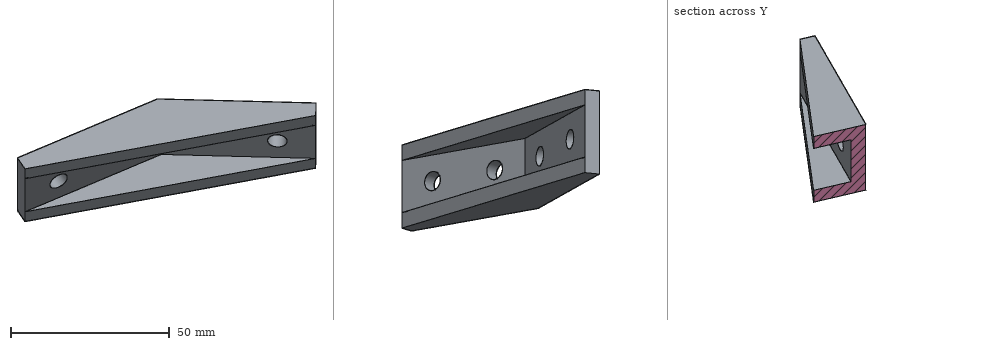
import cadquery as cq
import math

total_length = 93.3
height = 27.0
wall = 5.0
bend_angle = math.radians(30)
hole_diameter = 6.2
hole_margin = 12.0

leg_length = total_length / (1 + math.cos(bend_angle))

straight_end = (0, -leg_length)
straight_end_inner = (wall, -leg_length)
along = (math.sin(bend_angle), math.cos(bend_angle))
inward = (math.cos(bend_angle), -math.sin(bend_angle))
angled_end = (leg_length * along[0], leg_length * along[1])
angled_end_inner = (angled_end[0] + wall * inward[0], angled_end[1] + wall * inward[1])
bend_setback = wall * math.tan(bend_angle / 2)
bend_inner = (wall, -bend_setback)

hole_offsets = (bend_setback + hole_margin, leg_length - hole_margin)


def gusseted_body():
    """Bent plate whose legs are joined by a web along the top and the bottom."""
    body = (
        cq.Workplane("XY")
        .polyline([(0, 0), straight_end, straight_end_inner, angled_end_inner, angled_end])
        .close()
        .extrude(height)
    )
    cavity = (
        cq.Workplane("XY", origin=(0, 0, wall))
        .polyline([bend_inner, straight_end_inner, angled_end_inner])
        .close()
        .extrude(height - 2 * wall)
    )
    return body.cut(cavity)


def leg_hole(start, normal):
    """Through-hole cutter entering a leg at its outer face."""
    centre = cq.Vector(start[0], start[1], height / 2)
    direction = cq.Vector(normal[0], normal[1], 0)
    return cq.Solid.makeCylinder(hole_diameter / 2, wall, centre, direction)


result = gusseted_body()
for offset in hole_offsets:
    result = result.cut(leg_hole((0, -offset), (1, 0)))
    result = result.cut(leg_hole((offset * along[0], offset * along[1]), inward))